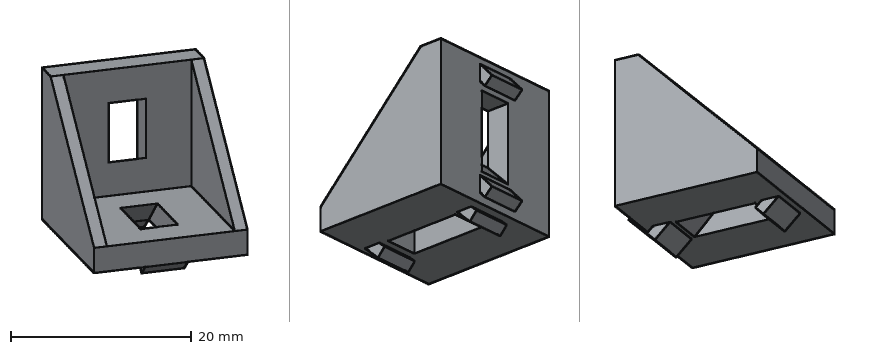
import cadquery as cq
import math

size = 18.0
wall = 3.0
cheek = 1.5

slot_width = 4.33
slot_start = 4.0
slot_end = 14.0

tab_width = 5.0
tab_reach = 1.8
tab_thickness = 1.45
tab_slope = 47.5
tab_tips = (1.48, 15.22)


def prism(points, width):
    """Extrude an XZ outline symmetrically about the Y = 0 plane."""
    return cq.Workplane("XZ").polyline(points).close().extrude(width / 2, both=True)


def mirrored(points):
    """Swap X and Z, carrying an outline from the upright plate to the base plate."""
    return [(z, x) for x, z in points]


def body():
    outline = [(0, 0), (size, 0), (size, wall), (wall, size), (0, size)]
    cavity = [(wall, wall), (size, wall), (size, size), (wall, size)]
    return prism(outline, size).cut(prism(cavity, size - 2 * cheek))


def slot_outline():
    return [(0, slot_start), (wall, slot_start + wall), (wall, slot_end), (0, slot_end)]


def tab_outline(tip):
    """Slanted bar on the upright plate, running from its tip to the plate's outer face."""
    slope = math.radians(tab_slope)
    tip_x = -tab_reach
    heel_x = tip_x + tab_thickness * math.sin(slope)
    heel = tip - tab_thickness * math.cos(slope)
    tip_root = tip - tip_x * math.tan(slope)
    heel_root = heel - heel_x * math.tan(slope)
    return [(tip_x, tip), (heel_x, heel), (0, heel_root), (0, tip_root)]


result = body()
for tip in tab_tips:
    outline = tab_outline(tip)
    result = result.union(prism(outline, tab_width))
    result = result.union(prism(mirrored(outline), tab_width))
result = result.cut(prism(slot_outline(), slot_width))
result = result.cut(prism(mirrored(slot_outline()), slot_width))